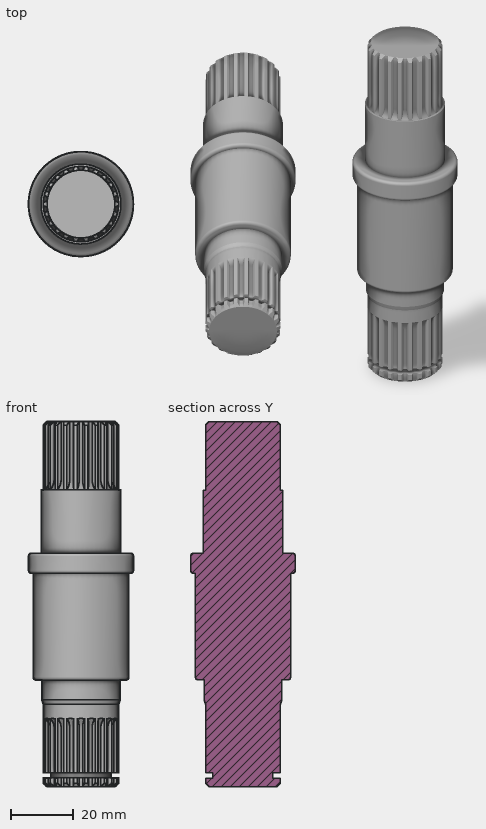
import cadquery as cq
import math

TOTAL_LENGTH = 116.5
SHOULDER_TOP = 94.6
COLLAR_TOP = 74.5
COLLAR_BOTTOM = 68.0
BODY_BOTTOM = 34.0
NECK_BOTTOM = 27.8
NECK_TAPER_END = 26.3
LOWER_SPLINE_TOP = 21.8
RING_GROOVE_TOP = 4.5
RING_GROOVE_BOTTOM = 2.9

SPLINE_DIAMETER = 24.0
SHOULDER_DIAMETER = 25.5
COLLAR_DIAMETER = 33.5
BODY_DIAMETER = 30.5
NECK_DIAMETER = 25.0
RING_GROOVE_DIAMETER = 19.3

EDGE_FILLET = 1.0
END_CHAMFER = 1.2

TOOTH_COUNT = 22
TOOTH_DEPTH = 1.15
SPACE_FLOOR_WIDTH = 1.1
FLANK_ANGLE = 30.0
UPPER_RUNOUT_RADIUS = 5.3
LOWER_RUNOUT_RADIUS = 4.0
FIRST_SPACE_ANGLE = -90.0
CUTTER_CLEARANCE = 0.5

SPLINE_RADIUS = SPLINE_DIAMETER / 2
ROOT_RADIUS = SPLINE_RADIUS - TOOTH_DEPTH


def cylinder(diameter, bottom, top):
    """Cylinder on the shaft axis between two stations."""
    return cq.Workplane("XY").workplane(offset=bottom).circle(diameter / 2).extrude(top - bottom)


def make_lower_spindle():
    """Spline-diameter core with a chamfered bottom end and a retaining-ring groove."""
    spindle = cylinder(SPLINE_DIAMETER, 0, BODY_BOTTOM).faces("<Z").chamfer(END_CHAMFER)
    groove = cylinder(SPLINE_DIAMETER, RING_GROOVE_BOTTOM, RING_GROOVE_TOP).cut(
        cylinder(RING_GROOVE_DIAMETER, RING_GROOVE_BOTTOM, RING_GROOVE_TOP)
    )
    return spindle.cut(groove)


def make_neck():
    """Neck below the body, tapering down to the spline diameter."""
    neck = cylinder(NECK_DIAMETER, NECK_TAPER_END, BODY_BOTTOM)
    taper_width = (NECK_DIAMETER - SPLINE_DIAMETER) / 2
    return neck.faces("<Z").chamfer(NECK_BOTTOM - NECK_TAPER_END, taper_width)


def make_shaft():
    """Turned shaft before the splines are cut."""
    body = cylinder(BODY_DIAMETER, BODY_BOTTOM, COLLAR_BOTTOM).faces("<Z").edges().fillet(EDGE_FILLET)
    collar = cylinder(COLLAR_DIAMETER, COLLAR_BOTTOM, COLLAR_TOP).edges("%CIRCLE").fillet(EDGE_FILLET)
    shoulder = cylinder(SHOULDER_DIAMETER, COLLAR_TOP, SHOULDER_TOP)
    upper_spindle = cylinder(SPLINE_DIAMETER, SHOULDER_TOP, TOTAL_LENGTH).faces(">Z").chamfer(END_CHAMFER)
    shaft = make_lower_spindle()
    for section in (make_neck(), body, collar, shoulder, upper_spindle):
        shaft = shaft.union(section)
    return shaft


def make_space_cutter(inner_station, outer_station, runout_radius):
    """Cutter for one tooth space on the +X side, from its runout to the shaft end."""
    direction = math.copysign(1, outer_station - inner_station)
    outer_radius = SPLINE_RADIUS + CUTTER_CLEARANCE
    end_station = outer_station + direction * CUTTER_CLEARANCE

    floor_half = SPACE_FLOOR_WIDTH / 2
    mouth_half = floor_half + (outer_radius - ROOT_RADIUS) * math.tan(math.radians(FLANK_ANGLE))
    space = (
        cq.Workplane("XY")
        .workplane(offset=inner_station)
        .polyline([
            (ROOT_RADIUS, -floor_half),
            (outer_radius, -mouth_half),
            (outer_radius, mouth_half),
            (ROOT_RADIUS, floor_half),
        ])
        .close()
        .extrude(end_station - inner_station)
    )

    sweep = math.acos(1 - TOOTH_DEPTH / runout_radius)
    arc_center_radius = ROOT_RADIUS + runout_radius
    floor_start = inner_station + direction * runout_radius * math.sin(sweep)
    arc_middle = (
        arc_center_radius - runout_radius * math.cos(sweep / 2),
        floor_start - direction * runout_radius * math.sin(sweep / 2),
    )
    side_envelope = (
        cq.Workplane("XZ")
        .moveTo(ROOT_RADIUS, end_station)
        .lineTo(ROOT_RADIUS, floor_start)
        .threePointArc(arc_middle, (SPLINE_RADIUS, inner_station))
        .lineTo(outer_radius, inner_station)
        .lineTo(outer_radius, end_station)
        .close()
        .extrude(mouth_half, both=True)
    )
    return space.intersect(side_envelope)


def cut_spline(shaft, inner_station, outer_station, runout_radius):
    """Cut all the tooth spaces of one spline."""
    cutter = make_space_cutter(inner_station, outer_station, runout_radius).val()
    axis_start, axis_end = (0, 0, 0), (0, 0, 1)
    cutters = []
    for index in range(TOOTH_COUNT):
        angle = FIRST_SPACE_ANGLE + index * 360 / TOOTH_COUNT
        cutters.append(cutter.rotate(axis_start, axis_end, angle))
    return shaft.cut(cq.Workplane("XY").newObject([cq.Compound.makeCompound(cutters)]))


result = make_shaft()
result = cut_spline(result, SHOULDER_TOP, TOTAL_LENGTH, UPPER_RUNOUT_RADIUS)
result = cut_spline(result, LOWER_SPLINE_TOP, 0, LOWER_RUNOUT_RADIUS)